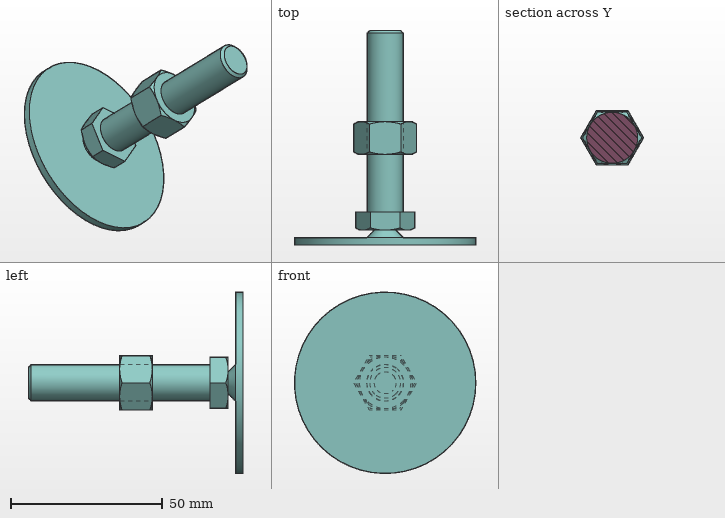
import cadquery as cq
import math

total_length = 71.0

foot_diameter = 60.0
foot_thickness = 2.5
neck_height = 2.5
neck_base_diameter = 12.2
neck_top_diameter = neck_base_diameter - 2 * neck_height

rod_diameter = 12.0
rod_tip_chamfer = 0.9
head_start = foot_thickness + neck_height
head_height = 6.0
head_across_flats = 17.0

nut_start = 30.0
nut_height = 10.8
nut_across_flats = 18.0

hex_half_angle = math.radians(30)
hex_chamfer_angle = math.radians(30)


def disc(diameter, start, height):
    """Cylinder on the Y axis, from Y = start towards +Y."""
    return cq.Workplane("XZ", origin=(0, start, 0)).circle(diameter / 2).extrude(-height)


def cone(start_diameter, end_diameter, start, height):
    """Truncated cone on the Y axis, from Y = start towards +Y."""
    solid = cq.Solid.makeCone(
        start_diameter / 2, end_diameter / 2, height, cq.Vector(0, start, 0), cq.Vector(0, 1, 0)
    )
    return cq.Workplane(obj=solid)


def chamfered_hexagon(across_flats, start, height, both_ends):
    """Hexagonal prism on the Y axis with corners on X, turned conically at its ends."""
    corner_diameter = across_flats / math.cos(hex_half_angle)
    chamfer_width = (corner_diameter - across_flats) / 2
    chamfer_height = chamfer_width * math.tan(hex_chamfer_angle)
    prism = cq.Workplane("XZ", origin=(0, start, 0)).polygon(6, corner_diameter).extrude(-height)
    envelope = disc(corner_diameter, start, height)
    chamfered_faces = "|Y" if both_ends else "<Y"
    envelope = envelope.faces(chamfered_faces).chamfer(chamfer_height, chamfer_width)
    return prism.intersect(envelope)


def make_foot():
    plate = disc(foot_diameter, 0, foot_thickness)
    neck = cone(neck_base_diameter, neck_top_diameter, foot_thickness, neck_height)
    return plate.union(neck)


def make_spindle():
    head = chamfered_hexagon(head_across_flats, head_start, head_height, both_ends=False)
    rod_start = head_start + head_height
    rod = disc(rod_diameter, rod_start, total_length - rod_start)
    rod = rod.faces(">Y").chamfer(rod_tip_chamfer)
    return head.union(rod)


def make_nut():
    blank = chamfered_hexagon(nut_across_flats, nut_start, nut_height, both_ends=True)
    return blank.cut(disc(rod_diameter, nut_start, nut_height))


foot = make_foot()
spindle = make_spindle()
nut = make_nut()

result = cq.Compound.makeCompound([foot.val(), spindle.val(), nut.val()])